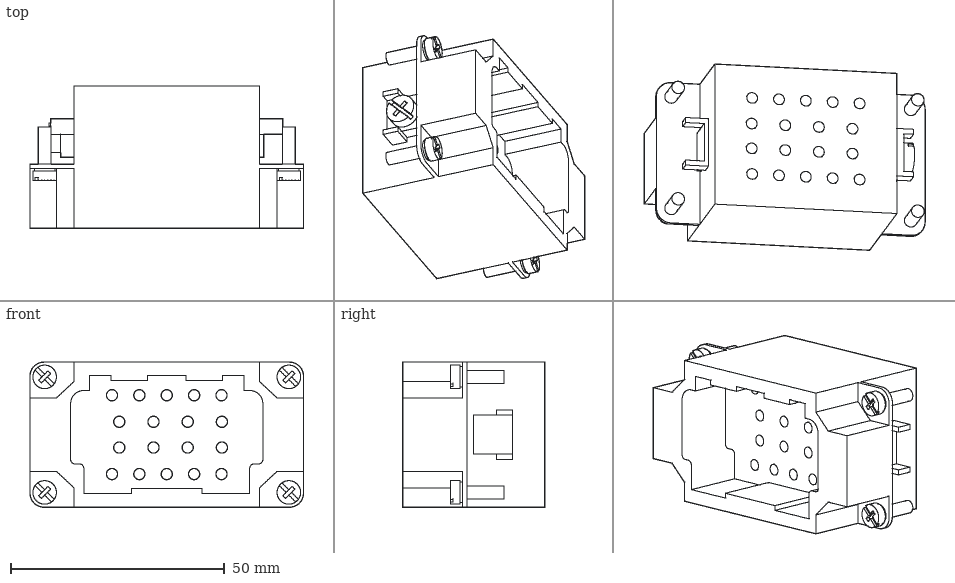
import cadquery as cq


width = 64.0
depth = 33.3
height = 34.0
body_width = 43.4

ear_height = 17.15
ear_root_height = 24.8
ear_flat_start = 25.8

flange_front = 13.95
flange_thickness = 1.1
flange_corner_radius = 3.3

cavity_depth = 14.35
cavity_half_width = 22.45
cavity_shoulder = 10.3
cavity_ledge = -6.85
top_half_width = 18.05
bottom_half_width = 19.4
cavity_top = 13.8
cavity_bottom = -13.75
rib_height = 1.15
top_rib_inner = 4.55
top_rib_outer = 13.0
bottom_rib_half_width = 8.2
shoulder_radius = 3.0
ledge_radius = 1.0

contact_diameter = 2.55
outer_row_count = 5
outer_row_pitch = 6.4
outer_row_z = 9.2
inner_row_count = 4
inner_row_pitch = 8.0
inner_row_z = 3.0
inner_row_shift = 0.9

screw_x = 28.55
screw_z = 13.5
shank_diameter = 3.0
shank_end = 23.75
head_diameter = 5.5
head_front = 11.2
head_back = 13.4
collar_diameter = 4.8

slot_width = 0.9
slot_angle = 45
mount_slot_depth = 0.65
mount_cross_length = 3.1
mount_cross_depth = 1.0
earth_cross_length = 4.1
earth_recess_depth = 1.3

plate_height = 9.1
plate_front = 16.6
terminal_back = 25.65
earth_plate_x = 24.8
blank_plate_x = 22.7
wing_x = 27.15
wing_length = 3.7
wing_thickness = 1.2
earth_head_diameter = 7.0
earth_head_y = 21.2
earth_head_x = 27.6


def section(y):
    """Workplane facing the mating side, with local X and Y along global X and Z."""
    return cq.Workplane("XZ", origin=(0, y, 0))


def box_between(x0, x1, y0, y1, z0, z1):
    return cq.Workplane("XY", origin=(x0, y0, z0)).box(x1 - x0, y1 - y0, z1 - z0, centered=False)


def rod(x, z, diameter, y0, y1):
    return section(y0).center(x, z).circle(diameter / 2).extrude(y0 - y1)


def make_housing():
    block = section(0).rect(body_width, height).extrude(-depth)
    flange = section(flange_front).rect(width, height).extrude(-flange_thickness)
    flange = flange.edges("|Y").fillet(flange_corner_radius)
    ears = (
        section(0)
        .moveTo(0, ear_root_height / 2)
        .lineTo(body_width / 2, ear_root_height / 2)
        .lineTo(ear_flat_start, ear_height / 2)
        .lineTo(width / 2, ear_height / 2)
        .lineTo(width / 2, -ear_height / 2)
        .lineTo(ear_flat_start, -ear_height / 2)
        .lineTo(body_width / 2, -ear_root_height / 2)
        .lineTo(0, -ear_root_height / 2)
        .mirrorY()
        .extrude(-flange_front)
    )
    return block.union(flange).union(ears)


def make_cavity():
    return (
        section(0)
        .moveTo(0, cavity_top)
        .lineTo(top_rib_inner, cavity_top)
        .lineTo(top_rib_inner, cavity_top - rib_height)
        .lineTo(top_rib_outer, cavity_top - rib_height)
        .lineTo(top_rib_outer, cavity_top)
        .lineTo(top_half_width, cavity_top)
        .lineTo(top_half_width, cavity_shoulder)
        .lineTo(cavity_half_width - shoulder_radius, cavity_shoulder)
        .radiusArc((cavity_half_width, cavity_shoulder - shoulder_radius), shoulder_radius)
        .lineTo(cavity_half_width, cavity_ledge + ledge_radius)
        .radiusArc((cavity_half_width - ledge_radius, cavity_ledge), ledge_radius)
        .lineTo(bottom_half_width + ledge_radius, cavity_ledge)
        .radiusArc((bottom_half_width, cavity_ledge - ledge_radius), -ledge_radius)
        .lineTo(bottom_half_width, cavity_bottom)
        .lineTo(bottom_rib_half_width, cavity_bottom)
        .lineTo(bottom_rib_half_width, cavity_bottom + rib_height)
        .lineTo(0, cavity_bottom + rib_height)
        .mirrorY()
        .extrude(-cavity_depth)
    )


def make_contact_holes():
    def row(count, pitch, x_shift, z):
        return [(x_shift + (i - (count - 1) / 2) * pitch, z) for i in range(count)]

    centers = []
    for side in (1, -1):
        centers += row(outer_row_count, outer_row_pitch, 0, side * outer_row_z)
        centers += row(inner_row_count, inner_row_pitch, inner_row_shift, side * inner_row_z)
    return section(0).pushPoints(centers).circle(contact_diameter / 2).extrude(-depth)


def make_cross(face, diameter, slot_depth, cross_length, cross_depth):
    """Slot across a screw head of the given diameter, crossed by a shorter one."""
    slot_plane = face.transformed(rotate=(0, 0, -slot_angle))
    slot = slot_plane.rect(diameter, slot_width).extrude(-slot_depth)
    cross_plane = face.transformed(rotate=(0, 0, slot_angle))
    cross = cross_plane.rect(cross_length, slot_width).extrude(-cross_depth)
    return slot.union(cross)


def make_mounting_screw(x, z):
    head = rod(x, z, head_diameter, head_front, head_back)
    face = section(head_front).center(x, z)
    head = head.cut(make_cross(face, head_diameter, mount_slot_depth, mount_cross_length, mount_cross_depth))
    collar = rod(x, z, collar_diameter, head_back, flange_front)
    shank = rod(x, z, shank_diameter, flange_front, shank_end)
    return head.union(collar).union(shank)


def make_terminal(side, plate_x):
    """Plate with a wing above and below it; side is -1 or 1 along X."""
    plate_top = plate_height / 2
    wing_top = plate_top + wing_thickness
    wing_front = terminal_back - wing_length
    terminal = box_between(0, plate_x, plate_front, terminal_back, -plate_top, plate_top)
    for z0, z1 in ((plate_top, wing_top), (-wing_top, -plate_top)):
        terminal = terminal.union(box_between(0, wing_x, wing_front, terminal_back, z0, z1))
    if side < 0:
        terminal = terminal.mirror("YZ")
    return terminal


def make_earth_screw():
    plane = cq.Plane(origin=(-earth_head_x, earth_head_y, 0), xDir=(0, -1, 0), normal=(-1, 0, 0))
    face = cq.Workplane(plane)
    head = face.circle(earth_head_diameter / 2).extrude(earth_plate_x - earth_head_x)
    recess = make_cross(face, earth_head_diameter, earth_recess_depth, earth_cross_length, earth_recess_depth)
    return head.cut(recess)


result = make_housing()
result = result.union(make_terminal(-1, earth_plate_x)).union(make_terminal(1, blank_plate_x))
result = result.union(make_earth_screw())
for screw_side in (-1, 1):
    for screw_level in (-1, 1):
        result = result.union(make_mounting_screw(screw_side * screw_x, screw_level * screw_z))
result = result.cut(make_cavity()).cut(make_contact_holes())